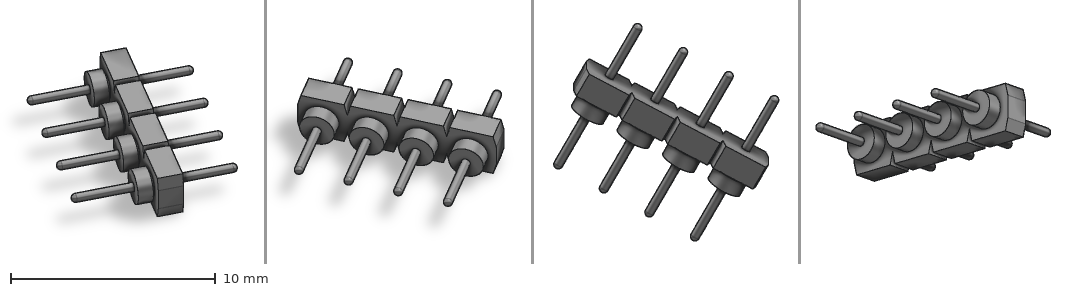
import cadquery as cq

pin_count = 4
pitch = 2.54
housing_length = pin_count * pitch
housing_height = 2.46
housing_depth = 1.29
bevel_width = 0.16
bevel_height = 0.65

pin_radius = 0.46 / 2
neck_radius = 1.27 / 2
collar_radius = 1.78 / 2
neck_length = 0.13
collar_length = 0.77
front_shaft_length = 3.15
rear_shaft_length = 3.09

collar_back = -neck_length
collar_front = collar_back - collar_length
front_tip = collar_front - front_shaft_length
rear_tip = housing_depth + rear_shaft_length

pin_positions = [(i - (pin_count - 1) / 2) * pitch for i in range(pin_count)]


def make_cell(x):
    """One housing cell: an octagonal block centred at x."""
    half_width = pitch / 2
    half_height = housing_height / 2
    flat_width = half_width - bevel_width
    flat_height = half_height - bevel_height
    outline = [
        (-flat_width, -half_height),
        (flat_width, -half_height),
        (half_width, -flat_height),
        (half_width, flat_height),
        (flat_width, half_height),
        (-flat_width, half_height),
        (-half_width, flat_height),
        (-half_width, -flat_height),
    ]
    return (
        cq.Workplane("XZ").polyline(outline).close().extrude(-housing_depth)
        .translate((x, 0, 0))
    )


def make_housing():
    """All cells joined into one block, with a through hole for each pin."""
    housing = make_cell(pin_positions[0])
    for x in pin_positions[1:]:
        housing = housing.union(make_cell(x))
    holes = (
        cq.Workplane("XZ").pushPoints([(x, 0) for x in pin_positions])
        .circle(pin_radius).extrude(-housing_depth)
    )
    return housing.cut(holes)


def make_pin(x):
    """A round-ended pin at x, revolved about its axis along Y."""
    arc_offset = pin_radius * 0.5 ** 0.5
    front_dome = front_tip + pin_radius
    rear_dome = rear_tip - pin_radius
    profile = (
        cq.Workplane("XY")
        .moveTo(0, front_tip)
        .threePointArc((arc_offset, front_dome - arc_offset), (pin_radius, front_dome))
        .lineTo(pin_radius, collar_front)
        .lineTo(collar_radius, collar_front)
        .lineTo(collar_radius, collar_back)
        .lineTo(neck_radius, collar_back)
        .lineTo(neck_radius, 0)
        .lineTo(pin_radius, 0)
        .lineTo(pin_radius, rear_dome)
        .threePointArc((arc_offset, rear_dome + arc_offset), (0, rear_tip))
        .close()
    )
    return profile.revolve(360, (0, 0, 0), (0, 1, 0)).translate((x, 0, 0))


housing = make_housing()
pins = [make_pin(x) for x in pin_positions]

result = cq.Compound.makeCompound([housing.val(), *[pin.val() for pin in pins]])